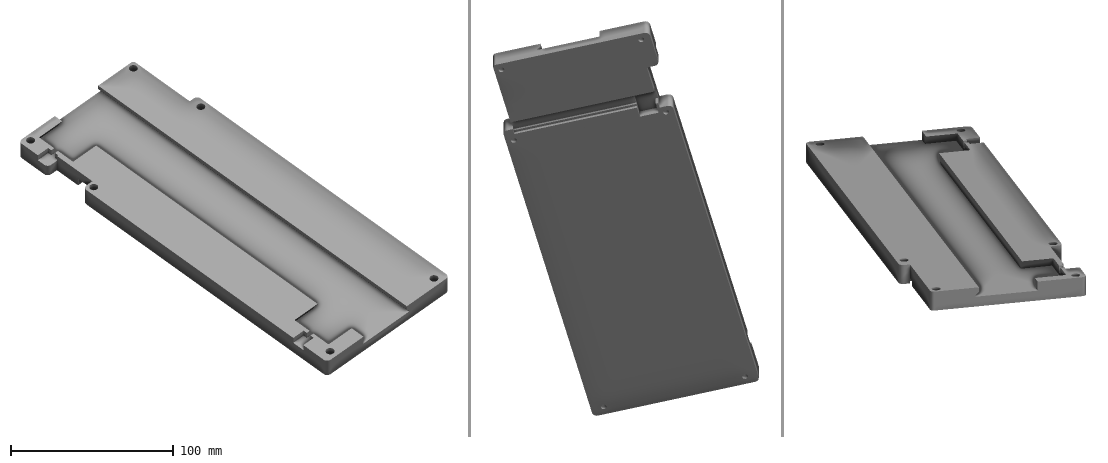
import cadquery as cq

LENGTH = 270.0
WIDTH = 106.0
HEIGHT = 12.5

REAR_STEP_X = 49.25
REAR_STEP_Y = 99.5
RELIEF_START_X = 25.5
RELIEF_END_X = 56.5
RELIEF_DEPTH = 8.0
CORNER_RADIUS = 3.0
STEP_CORNER_RADIUS = 2.0

CHANNEL_FLOOR_Z = 6.5
CHANNEL_FRONT_Y = 31.5
CHANNEL_REAR_Y = 69.0
UNDERCUT_REACH = 2.0
UNDERCUT_TOP_Z = 9.5

BAY_WIDTH = 29.75
BAY_FRONT_Y = 11.5
BAY_SIDE_UNDERCUT = 3.25
BAY_CENTERS_X = (21.25, 244.75)
SLOT_FLOOR_Z = 8.25
SLOT_WIDTH = 8.75
SLOT_LENGTH = 9.0
SLOT_NECK_WIDTH = 3.25

SCREW_DIAMETER = 3.5
HEAD_DIAMETER = 5.5
HEAD_DEPTH = 6.0
SCREW_CENTERS = (
    (4.5, 6.0),
    (60.75, 5.0),
    (264.5, 8.0),
    (264.5, 98.0),
    (57.5, 101.0),
    (4.5, 95.0),
)

PASSAGE_START_X = 44.0
PORT_WIDTH = 9.0
PORT_HEIGHT = 5.75
PORT_WALL = 1.5
POCKET_WIDTH = 16.0
POCKET_LENGTH = 12.0
RUN_HEIGHT = 3.5
RUN_CROWN_WIDTH = 7.5
RUN_SIDE_HEIGHT = 2.0


def box_between(x_range, y_range, z_range):
    """Return a box spanning the given ranges along X, Y and Z."""
    ranges = (x_range, y_range, z_range)
    sizes = [end - start for start, end in ranges]
    starts = tuple(start for start, end in ranges)
    return cq.Workplane("XY").box(*sizes, centered=False).translate(starts)


def make_body():
    """Plate outline with its outer vertical corners rounded."""
    outline = [
        (0, 0),
        (RELIEF_START_X, 0),
        (RELIEF_START_X, RELIEF_DEPTH),
        (RELIEF_END_X, RELIEF_DEPTH),
        (RELIEF_END_X, 0),
        (LENGTH, 0),
        (LENGTH, WIDTH),
        (REAR_STEP_X, WIDTH),
        (REAR_STEP_X, REAR_STEP_Y),
        (0, REAR_STEP_Y),
    ]
    body = cq.Workplane("XY").polyline(outline).close().extrude(HEIGHT)
    rounded_corners = (
        (0, 0),
        (RELIEF_START_X, 0),
        (RELIEF_END_X, 0),
        (LENGTH, 0),
        (LENGTH, WIDTH),
        (REAR_STEP_X, WIDTH),
    )
    for x, y in rounded_corners:
        corner = cq.selectors.NearestToPointSelector((x, y, HEIGHT / 2))
        body = body.edges("|Z").edges(corner).fillet(CORNER_RADIUS)
    step_corner = cq.selectors.NearestToPointSelector((0, REAR_STEP_Y, HEIGHT / 2))
    return body.edges("|Z").edges(step_corner).fillet(STEP_CORNER_RADIUS)


def make_channel():
    """Full-length channel whose rear wall slopes back below a vertical lip."""
    undercut_y = CHANNEL_REAR_Y + UNDERCUT_REACH
    profile = [
        (CHANNEL_FRONT_Y, CHANNEL_FLOOR_Z),
        (undercut_y, CHANNEL_FLOOR_Z),
        (undercut_y, UNDERCUT_TOP_Z - UNDERCUT_REACH),
        (CHANNEL_REAR_Y, UNDERCUT_TOP_Z),
        (CHANNEL_REAR_Y, HEIGHT),
        (CHANNEL_FRONT_Y, HEIGHT),
    ]
    return cq.Workplane("YZ").polyline(profile).close().extrude(LENGTH)


def make_bay(center_x):
    """Dovetail bay at channel depth, joined to the front edge by a narrow neck and a wider slot."""
    def centered_cut(width, y_range, floor_z):
        x_range = (center_x - width / 2, center_x + width / 2)
        return box_between(x_range, y_range, (floor_z, HEIGHT))

    top_half = BAY_WIDTH / 2
    floor_half = top_half + BAY_SIDE_UNDERCUT
    dovetail = [
        (center_x - floor_half, CHANNEL_FLOOR_Z),
        (center_x + floor_half, CHANNEL_FLOOR_Z),
        (center_x + top_half, HEIGHT),
        (center_x - top_half, HEIGHT),
    ]
    front_plane = cq.Workplane("XZ", origin=(0, BAY_FRONT_Y, 0))
    bay = front_plane.polyline(dovetail).close().extrude(BAY_FRONT_Y - CHANNEL_FRONT_Y)
    neck = centered_cut(SLOT_NECK_WIDTH, (SLOT_LENGTH, BAY_FRONT_Y), SLOT_FLOOR_Z)
    slot = centered_cut(SLOT_WIDTH, (0, SLOT_LENGTH), SLOT_FLOOR_Z)
    return bay.union(neck).union(slot)


def make_passage():
    """Front port, wider pocket behind its wall, and a stepped run to the rear step."""
    pocket_start_y = RELIEF_DEPTH + PORT_WALL
    pocket_end_y = pocket_start_y + POCKET_LENGTH

    def passage_cut(width, y_range, height):
        x_range = (PASSAGE_START_X, PASSAGE_START_X + width)
        return box_between(x_range, y_range, (0, height))

    run_y = (pocket_end_y, REAR_STEP_Y)
    port = passage_cut(PORT_WIDTH, (RELIEF_DEPTH, pocket_start_y), PORT_HEIGHT)
    pocket = passage_cut(POCKET_WIDTH, (pocket_start_y, pocket_end_y), PORT_HEIGHT)
    run_base = passage_cut(PORT_WIDTH, run_y, RUN_SIDE_HEIGHT)
    run_crown = passage_cut(RUN_CROWN_WIDTH, run_y, RUN_HEIGHT)
    return port.union(pocket).union(run_base).union(run_crown)


def drill_screw_holes(body):
    """Drill the counterbored through holes from the top."""
    top = body.faces(">Z").workplane(origin=(0, 0, HEIGHT))
    return top.pushPoints(SCREW_CENTERS).cboreHole(SCREW_DIAMETER, HEAD_DIAMETER, HEAD_DEPTH)


result = drill_screw_holes(make_body())
result = result.cut(make_channel())
for bay_center_x in BAY_CENTERS_X:
    result = result.cut(make_bay(bay_center_x))
result = result.cut(make_passage())